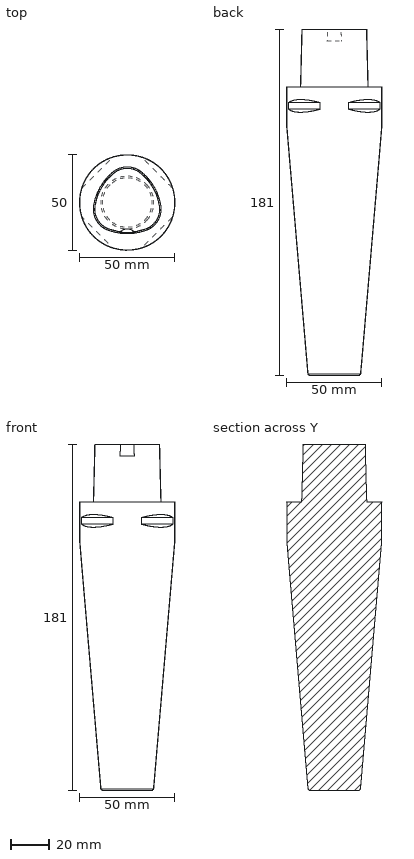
import cadquery as cq
import math

total_height = 181.0
shank_length = 30.0
flange_height = 20.0
flange_top = total_height - shank_length
flange_bottom = flange_top - flange_height

flange_radius = 50.0 / 2
nose_radius = 27.7 / 2
nose_chamfer = 0.9

lobe_tip_distance = 18.6
flank_distance = 16.3
lobe_radius = 11.8
shank_slope = 1 / 40

notch_radius = 4.9
notch_depth = 6.0
notch_floor_distance = 13.8

groove_count = 4
groove_start_angle = 45
groove_floor_distance = 22.0
groove_floor_height = 3.5
groove_mouth_height = 6.7
groove_z = flange_top - flange_height / 2


def polar(radius, angle):
    """Point at a distance from the axis and an angle in degrees."""
    return (radius * math.cos(math.radians(angle)), radius * math.sin(math.radians(angle)))


def make_body():
    """Flange and conical body with a chamfered nose, revolved about Z."""
    return (
        cq.Workplane("XZ")
        .moveTo(0, 0)
        .lineTo(nose_radius - nose_chamfer, 0)
        .lineTo(nose_radius, nose_chamfer)
        .lineTo(flange_radius, flange_bottom)
        .lineTo(flange_radius, flange_top)
        .lineTo(0, flange_top)
        .close()
        .revolve(360, (0, 0), (0, 1))
    )


def make_shank():
    """Tapered shank whose outline alternates tangent lobe and flank arcs."""
    lobe_center = lobe_tip_distance - lobe_radius
    flank_offset = flank_distance - lobe_center / 2
    half_spacing = lobe_center * math.sin(math.radians(60))
    flank_radius = (half_spacing**2 + flank_offset**2 - lobe_radius**2) / (2 * (flank_offset - lobe_radius))
    half_angle = math.asin(half_spacing / (flank_radius - lobe_radius))
    joint_across = flank_radius * math.sin(half_angle)
    joint_out = flank_distance - flank_radius * (1 - math.cos(half_angle))
    joint_distance = math.hypot(joint_across, joint_out)
    joint_angle = math.degrees(math.atan2(joint_across, joint_out))

    outline = cq.Workplane("XY", origin=(0, 0, flange_top)).moveTo(*polar(joint_distance, -90 - joint_angle))
    for flank_angle in (-90, 30, 150):
        outline = outline.threePointArc(
            polar(flank_distance, flank_angle), polar(joint_distance, flank_angle + joint_angle)
        )
        outline = outline.threePointArc(
            polar(lobe_tip_distance, flank_angle + 60), polar(joint_distance, flank_angle + 120 - joint_angle)
        )
    return outline.close().extrude(shank_length, taper=math.degrees(math.atan(shank_slope)))


def make_notch():
    """Upright cylinder that scallops the top edge of the -Y flank."""
    return (
        cq.Workplane("XY", origin=(0, -notch_floor_distance - notch_radius, total_height - notch_depth))
        .circle(notch_radius)
        .extrude(notch_depth)
    )


def make_groove(angle):
    """Straight groove with a flat floor and flared walls, facing the given angle."""
    half_floor = groove_floor_height / 2
    half_mouth = groove_mouth_height / 2
    return (
        cq.Workplane("XZ")
        .moveTo(groove_floor_distance, groove_z - half_floor)
        .lineTo(flange_radius, groove_z - half_mouth)
        .lineTo(flange_radius, groove_z + half_mouth)
        .lineTo(groove_floor_distance, groove_z + half_floor)
        .close()
        .extrude(flange_radius, both=True)
        .rotate((0, 0, 0), (0, 0, 1), angle)
    )


result = make_body().union(make_shank()).cut(make_notch())
for index in range(groove_count):
    result = result.cut(make_groove(groove_start_angle + index * 360 / groove_count))